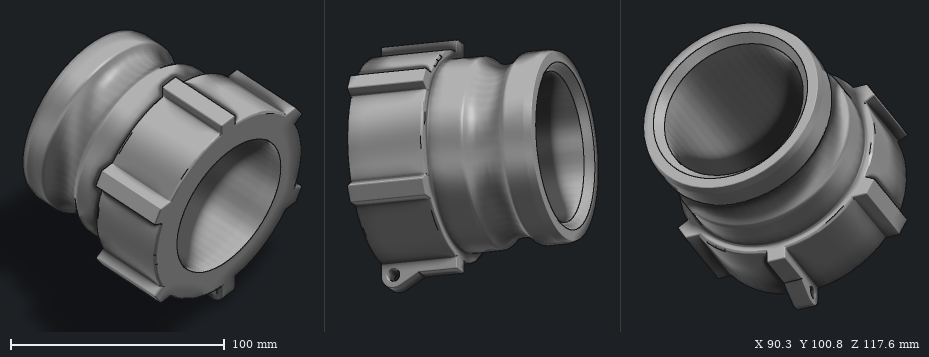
import cadquery as cq
import math

total_length = 90.3
bore_diameter = 71.12
mouth_diameter = 79.0
mouth_depth = 3.9
cam_radius = 91.49 / 2
barrel_start = 52.0
barrel_radius = 50.3
shoulder_fillet = 1.27
barrel_front_fillet = 1.52
barrel_rear_fillet = 1.2

nose_length = 3.8
nose_angle = 15
nose_edge_fillet = 0.5
nose_blend_fillet = 3.0

groove_center_x = 24.65
groove_depth = 4.95
groove_radius = 12.7
groove_blend_radius = 3.175

lug_length = total_length - barrel_start
lug_height = 55.625
lug_width = 9.7
lug_root_radius = 46.0
lug_fillet = 0.76
lug_root_fillet = 0.5
side_lug_angle = 30
side_lug_flat_z = 30.9
side_lug_flank_offset = 5.0

ear_radius = 6.35
ear_hole_diameter = 5.59
ear_slope = 30

position_tolerance = 0.01


def circle_edges(body, x, radius):
    """Circular edges about the X axis at the given station and radius."""
    return body.edges("%CIRCLE").filter(
        lambda edge: abs(edge.Center().x - x) < position_tolerance
        and abs(edge.radius() - radius) < position_tolerance
    )


def make_body():
    """Revolve the outer shape with its groove, then round its circular edges."""
    nose_radius = cam_radius - nose_length * math.tan(math.radians(nose_angle))

    center_distance = groove_radius + groove_blend_radius
    half_opening = math.sqrt(center_distance**2 - (center_distance - groove_depth) ** 2)
    bottom_radius = cam_radius - groove_depth
    tangent_offset = half_opening * groove_radius / center_distance
    tangent_rise = groove_radius - math.sqrt(groove_radius**2 - tangent_offset**2)
    tangent_radius = bottom_radius + tangent_rise
    blend_half_angle = math.asin(half_opening / center_distance) / 2
    blend_offset = half_opening - groove_blend_radius * math.sin(blend_half_angle)
    blend_radius = cam_radius - groove_blend_radius * (1 - math.cos(blend_half_angle))

    body = (
        cq.Workplane("XY")
        .lineTo(0, nose_radius)
        .lineTo(nose_length, cam_radius)
        .lineTo(groove_center_x - half_opening, cam_radius)
        .threePointArc(
            (groove_center_x - blend_offset, blend_radius),
            (groove_center_x - tangent_offset, tangent_radius),
        )
        .threePointArc(
            (groove_center_x, bottom_radius),
            (groove_center_x + tangent_offset, tangent_radius),
        )
        .threePointArc(
            (groove_center_x + blend_offset, blend_radius),
            (groove_center_x + half_opening, cam_radius),
        )
        .lineTo(barrel_start, cam_radius)
        .lineTo(barrel_start, barrel_radius)
        .lineTo(total_length, barrel_radius)
        .lineTo(total_length, 0)
        .close()
        .revolve(360, (0, 0, 0), (1, 0, 0))
    )
    rounded_edges = [
        (0, nose_radius, nose_edge_fillet),
        (nose_length, cam_radius, nose_blend_fillet),
        (barrel_start, cam_radius, shoulder_fillet),
        (barrel_start, barrel_radius, barrel_front_fillet),
        (total_length, barrel_radius, barrel_rear_fillet),
    ]
    for x, radius, fillet in rounded_edges:
        body = circle_edges(body, x, radius).fillet(fillet)
    return body


def make_bore():
    """Through bore with a conical mouth at the cam end."""
    bore_radius = bore_diameter / 2
    return (
        cq.Workplane("XY")
        .lineTo(0, mouth_diameter / 2)
        .lineTo(mouth_depth, bore_radius)
        .lineTo(total_length, bore_radius)
        .lineTo(total_length, 0)
        .close()
        .revolve(360, (0, 0, 0), (1, 0, 0))
    )


def make_top_lug():
    """Square lug, rounded everywhere but on its front outer edge."""
    lug_depth = lug_height - lug_root_radius
    lug = cq.Workplane("XY", origin=(barrel_start, 0, lug_root_radius)).box(
        lug_length, lug_width, lug_depth, centered=(False, True, False)
    )
    sharp_edge = lug.faces("<X").edges(">Z").val()
    return lug.edges().filter(lambda edge: not edge.isSame(sharp_edge)).fillet(lug_fillet)


def make_side_lug():
    """Lug on the +Y side above the XY plane: one radial flank, one flank parallel to Y."""
    angle = math.radians(side_lug_angle)

    def lug_point(height, sideways):
        return (
            height * math.cos(angle) - sideways * math.sin(angle),
            height * math.sin(angle) + sideways * math.cos(angle),
        )

    flat_offset = (side_lug_flat_z - lug_height * math.sin(angle)) / math.cos(angle)
    flat_root_y = math.sqrt(lug_root_radius**2 - side_lug_flat_z**2)
    outline = [
        lug_point(lug_root_radius, -side_lug_flank_offset),
        lug_point(lug_height, -side_lug_flank_offset),
        lug_point(lug_height, flat_offset),
        (flat_root_y, side_lug_flat_z),
    ]
    return (
        cq.Workplane("YZ", origin=(barrel_start, 0, 0))
        .polyline(outline)
        .close()
        .extrude(lug_length)
        .edges()
        .fillet(lug_fillet)
    )


def make_ear_lug():
    """Bottom lug that widens into a round ear with a chain hole."""
    slope = math.radians(ear_slope)
    ear_x = total_length - ear_radius
    ear_z = -lug_height
    tangent_x = ear_x - ear_radius * math.sin(slope)
    tangent_z = ear_z - ear_radius * math.cos(slope)
    slope_start_x = tangent_x - (ear_z - tangent_z) / math.tan(slope)
    lug = (
        cq.Workplane("XZ")
        .moveTo(barrel_start, -lug_root_radius)
        .lineTo(barrel_start, ear_z)
        .lineTo(slope_start_x, ear_z)
        .lineTo(tangent_x, tangent_z)
        .threePointArc(
            (ear_x + ear_radius * math.sin(slope), tangent_z),
            (total_length, ear_z),
        )
        .lineTo(total_length, -lug_root_radius)
        .close()
        .moveTo(ear_x, ear_z)
        .circle(ear_hole_diameter / 2)
        .extrude(lug_width / 2, both=True)
    )
    front_edge = lug.faces("<X").edges("<Z").val()
    side_faces = lug.faces("<Y or >Y")
    return side_faces.edges().add(front_edge).fillet(lug_fillet)


def lug_root_edges(body):
    """Straight edges where the lug flanks meet the barrel cylinder."""
    return body.edges("|X").filter(
        lambda edge: abs(math.hypot(edge.Center().y, edge.Center().z) - barrel_radius) < position_tolerance
    )


side_lug = make_side_lug()
result = make_body().union(make_top_lug()).union(make_ear_lug())
for lug in (side_lug, side_lug.mirror("XZ")):
    result = result.union(lug).union(lug.mirror("XY"))
result = lug_root_edges(result).fillet(lug_root_fillet)
result = result.cut(make_bore())